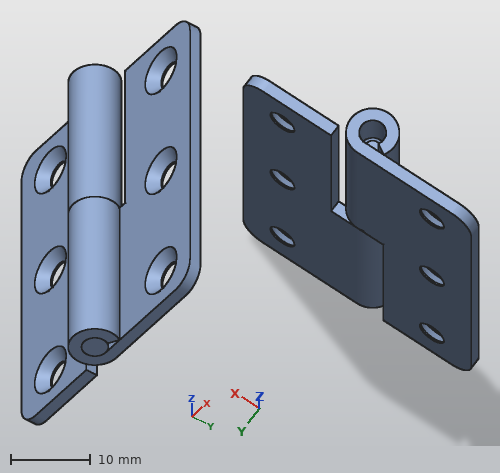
import cadquery as cq
import math

height = 45.0
width = 35.0
thickness = 1.65
knuckle_radius = 3.352
bore_radius = knuckle_radius - thickness
corner_radius = 3.0
leaf_edge_x = 4.0
curl_end_angle = 150.0

hole_x = 11.48
hole_pitch = 17.0
hole_diameter = 3.7
sink_diameter = 6.52
sink_angle = 90.0

pin_top_recess = 4.5
pin_chamfer = 0.7


def polar(radius, degrees):
    """Point at a radius and angle about the knuckle axis."""
    angle = math.radians(degrees)
    return radius * math.cos(angle), radius * math.sin(angle)


def make_plate():
    """Full-height flat part of the left leaf, rounded at its outer corners."""
    plate_width = width / 2 - leaf_edge_x
    return (
        cq.Workplane("XY")
        .box(plate_width, thickness, height, centered=(False, False, True))
        .translate((-width / 2, bore_radius, 0))
        .edges("|Y and <X")
        .fillet(corner_radius)
    )


def make_knuckle():
    """Upper half-height strip rolled into an open curl around the pin."""
    return (
        cq.Workplane("XY")
        .moveTo(-leaf_edge_x, knuckle_radius)
        .lineTo(0, knuckle_radius)
        .threePointArc((0, -knuckle_radius), polar(knuckle_radius, curl_end_angle))
        .lineTo(*polar(bore_radius, curl_end_angle))
        .threePointArc((0, -bore_radius), (0, bore_radius))
        .lineTo(-leaf_edge_x, bore_radius)
        .close()
        .extrude(height / 2)
    )


def make_leaf():
    """Left leaf: plate and knuckle in one piece, with three screw holes."""
    hole_points = [(-hole_x, row * hole_pitch) for row in (-1, 0, 1)]
    return (
        make_plate()
        .union(make_knuckle())
        .copyWorkplane(cq.Workplane("XZ", origin=(0, bore_radius, 0)))
        .pushPoints(hole_points)
        .cskHole(hole_diameter, sink_diameter, sink_angle, depth=thickness)
    )


def make_pin():
    """Pin flush with the lower end and chamfered at its recessed upper end."""
    return (
        cq.Workplane("XY", origin=(0, 0, -height / 2))
        .circle(bore_radius)
        .extrude(height - pin_top_recess)
        .faces(">Z")
        .chamfer(pin_chamfer)
    )


leaves = []
for turn in (0, 180):
    leaves.append(make_leaf().rotate((0, 0, 0), (0, 1, 0), turn))
pin = make_pin()

result = cq.Compound.makeCompound([*(leaf.val() for leaf in leaves), pin.val()])